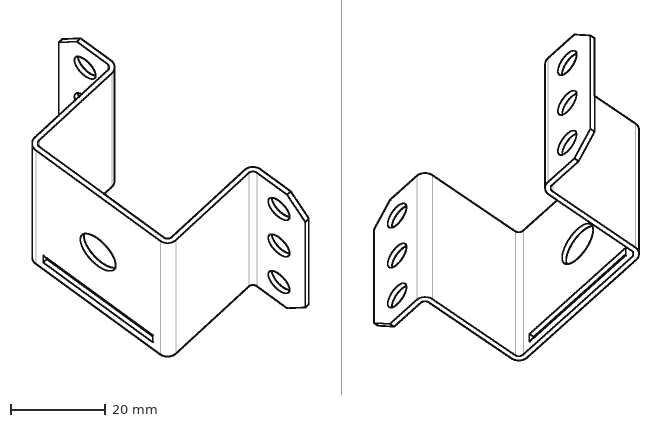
import cadquery as cq

length = 70.0
depth = 28.0
height = 42.0

thickness = 1.2
inner_radius = 1.2
outer_radius = inner_radius + thickness
channel_width = 40.05

corner_cut = 5.2
flange_hole_diameter = 6.0
flange_hole_x = 27.5
flange_hole_pitch = 13.5

web_hole_diameter = 10.0
slot_length = 31.1
slot_height = 2.5
slot_bottom_margin = 2.5

front_y = -depth / 2
back_y = depth / 2
half_channel = channel_width / 2


def box_profile(width, y_min, y_max):
    """Prism centred on X and Z, running the full height."""
    return cq.Workplane("XY").box(width, y_max - y_min, height).translate((0, (y_min + y_max) / 2, 0))


def make_bent_sheet():
    """Channel with two outward flanges, rounded at all four bends."""
    inner_half = half_channel - thickness
    flange_front = back_y - thickness
    sheet = (
        box_profile(length, flange_front, back_y)
        .union(box_profile(channel_width, front_y, back_y))
        .cut(box_profile(2 * inner_half, front_y + thickness, back_y))
    )

    def bend_edges(half_width, y):
        margin = thickness / 4
        left = cq.selectors.BoxSelector(
            (-half_width - margin, y - margin, -height), (-half_width + margin, y + margin, height)
        )
        right = cq.selectors.BoxSelector(
            (half_width - margin, y - margin, -height), (half_width + margin, y + margin, height)
        )
        return sheet.edges("|Z").edges(left + right)

    bends = [
        (half_channel, front_y, outer_radius),
        (inner_half, front_y + thickness, inner_radius),
        (half_channel, flange_front, inner_radius),
        (inner_half, back_y, outer_radius),
    ]
    for half_width, y, radius in bends:
        sheet = bend_edges(half_width, y).fillet(radius)
    return sheet


def cut_flange_corners(part):
    """Bevel the four outer corners of the flanges."""
    return part.faces("<X or >X").edges("|Y").chamfer(corner_cut)


def cut_flange_holes(part):
    """Drill a column of three holes through each flange."""
    centers = [(side * flange_hole_x, row * flange_hole_pitch) for side in (-1, 1) for row in (-1, 0, 1)]
    holes = (
        cq.Workplane("XZ").pushPoints(centers).circle(flange_hole_diameter / 2)
        .extrude(depth, both=True)
    )
    return part.cut(holes)


def cut_web_openings(part):
    """Cut the central hole and the slot near the bottom edge of the web."""
    slot_z = -height / 2 + slot_bottom_margin + slot_height / 2
    hole = cq.Workplane("XZ").circle(web_hole_diameter / 2).extrude(depth, both=True)
    slot = (
        cq.Workplane("XZ").center(0, slot_z).rect(slot_length, slot_height)
        .extrude(depth, both=True)
    )
    return part.cut(hole).cut(slot)


result = make_bent_sheet()
result = cut_flange_corners(result)
result = cut_flange_holes(result)
result = cut_web_openings(result)